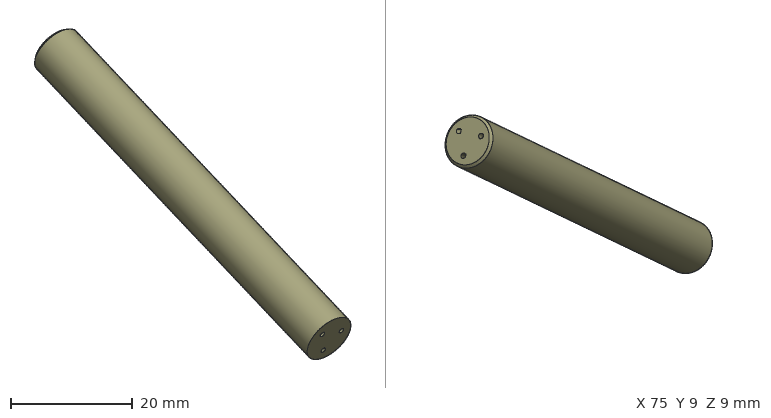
import cadquery as cq

length = 75.0
diameter = 9.0

chamfer_size = 0.45

hole_count = 3
hole_diameter = 0.9
hole_circle_radius = 2.55
first_hole_angle = 48.5
helix_pitch = 48.75


def chamfered_bar():
    """Bar revolved about X from its half profile."""
    end_x = length / 2
    radius = diameter / 2
    profile = (
        cq.Workplane("XY")
        .moveTo(-end_x, 0)
        .lineTo(-end_x, radius - chamfer_size)
        .lineTo(-end_x + chamfer_size, radius)
        .lineTo(end_x, radius)
        .lineTo(end_x, 0)
        .close()
    )
    return profile.revolve(360, (0, 0, 0), (1, 0, 0))


def helical_holes():
    """Cutters for the evenly spaced helical holes, running the full length."""
    return (
        cq.Workplane("YZ", origin=(-length / 2, 0, 0))
        .polarArray(hole_circle_radius, first_hole_angle, 360, hole_count)
        .circle(hole_diameter / 2)
        .twistExtrude(length, 360 * length / helix_pitch)
    )


result = chamfered_bar().cut(helical_holes())